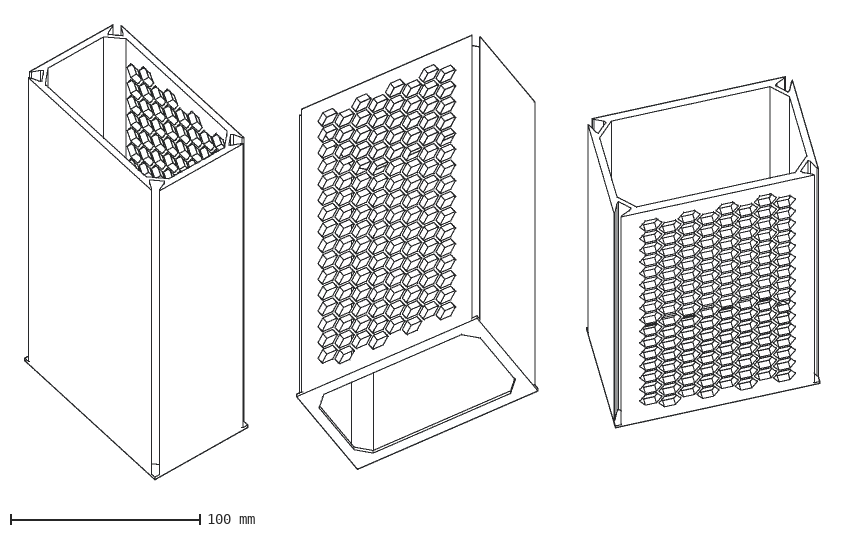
import cadquery as cq
import math

LENGTH_X = 111.3
DEPTH_Y = 62.3
HEIGHT = 217.0

BASE_THICKNESS = 2.0
WALL = 2 * BASE_THICKNESS
LIP = BASE_THICKNESS
INNER_CORNER = 8.5

MOUTH_HALF_WIDTH = 2.2
MOUTH_DEPTH = 3.3
FLARE_DEPTH = 8.0
FLOOR_DEPTH = 9.5
FLOOR_HALF_WIDTH = 4.0

HEX_ACROSS_FLATS = 10.5
HEX_WEB = 1.58
HEX_PITCH = HEX_ACROSS_FLATS + HEX_WEB
HEX_TOP_MARGIN = 15.0
HEX_COLUMNS = 8
HEX_ROWS = 16


def chamfered_prism(length, depth, corner, height):
    """Upright block standing on Z = 0 with 45 degree vertical corners."""
    return (
        cq.Workplane("XY")
        .rect(length, depth)
        .extrude(height)
        .edges("|Z")
        .chamfer(corner)
    )


def sleeve():
    """Open rectangular tube with a thin inward lip at its base."""
    cavity_x = LENGTH_X - 2 * WALL
    cavity_y = DEPTH_Y - 2 * WALL
    cavity = chamfered_prism(cavity_x, cavity_y, INNER_CORNER, HEIGHT)
    cavity = cavity.translate((0, 0, BASE_THICKNESS))

    opening_corner = INNER_CORNER - LIP * (2 - math.sqrt(2))
    opening = chamfered_prism(cavity_x - 2 * LIP, cavity_y - 2 * LIP, opening_corner, HEIGHT)

    block = cq.Workplane("XY").box(LENGTH_X, DEPTH_Y, HEIGHT, centered=(True, True, False))
    return block.cut(cavity).cut(opening)


def corner_groove(side_x, side_y):
    """Dovetail cutter for one vertical edge, stopping on top of the base."""
    half_profile = [
        (MOUTH_HALF_WIDTH, MOUTH_HALF_WIDTH),
        (MOUTH_DEPTH, MOUTH_HALF_WIDTH),
        (FLARE_DEPTH, FLOOR_HALF_WIDTH),
        (FLOOR_DEPTH, FLOOR_HALF_WIDTH),
    ]
    mirrored_half = [(depth, -half_width) for depth, half_width in reversed(half_profile)]
    profile = [(0, 0)] + half_profile + mirrored_half

    outline = []
    for depth, across in profile:
        inset_x = (depth + across) / math.sqrt(2)
        inset_y = (depth - across) / math.sqrt(2)
        outline.append((side_x * (LENGTH_X / 2 - inset_x), side_y * (DEPTH_Y / 2 - inset_y)))

    return (
        cq.Workplane("XY")
        .workplane(offset=BASE_THICKNESS)
        .polyline(outline)
        .close()
        .extrude(HEIGHT - BASE_THICKNESS)
    )


def honeycomb():
    """Staggered hexagon cutters through the +Y wall, flat sides up."""
    column_pitch = HEX_PITCH * math.sqrt(3) / 2
    hex_diameter = HEX_ACROSS_FLATS * 2 / math.sqrt(3)
    stagger = HEX_PITCH / 2
    highest_z = HEIGHT - HEX_TOP_MARGIN

    centres = []
    for column in range(HEX_COLUMNS):
        x = (column - (HEX_COLUMNS - 1) / 2) * column_pitch
        drop = stagger * ((HEX_COLUMNS - 1 - column) % 2)
        for row in range(HEX_ROWS):
            centres.append((x, highest_z - drop - row * HEX_PITCH))

    return (
        cq.Workplane("XZ", origin=(0, DEPTH_Y / 2 - WALL, 0))
        .pushPoints(centres)
        .polygon(6, hex_diameter)
        .extrude(-WALL)
    )


result = sleeve()
for side_x in (-1, 1):
    for side_y in (-1, 1):
        result = result.cut(corner_groove(side_x, side_y))
result = result.cut(honeycomb())